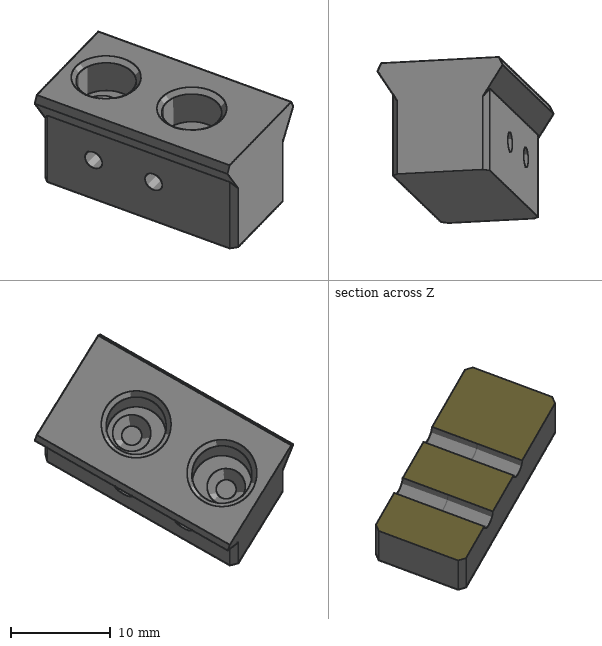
import cadquery as cq

length = 22.5
height = 11.5
body_width = 10.0
corner_chamfer = 0.6

head_top_width = 12.08
head_max_width = 12.9
head_bevel_height = 0.83
head_depth = 4.0
head_bottom_width = body_width - 2 * corner_chamfer

pocket_diameter = 6.0
pocket_depth = 4.0
pocket_chamfer = 0.5
seat_top_diameter = 3.82
seat_bottom_diameter = 2.0
seat_depth = (seat_top_diameter - seat_bottom_diameter) / 2
pocket_positions = (4.5, 14.5)
seat_positions = (4.0, 15.0)

pin_diameter = 2.0
pin_height = 4.93
pin_positions = (6.0, 13.0)


def make_body():
    """Rectangular block with chamfered vertical corners."""
    block = cq.Workplane("XY").box(length, body_width, height, centered=(False, True, False))
    return block.edges("|Z").chamfer(corner_chamfer)


def make_head():
    """Full-length head that tapers inward to meet the chamfered body corners."""
    widest_height = height - head_bevel_height
    half_profile = [
        (head_bottom_width / 2, height - head_depth),
        (head_max_width / 2, widest_height),
        (head_top_width / 2, height),
    ]
    mirrored_half = [(-y, z) for y, z in reversed(half_profile)]
    return cq.Workplane("YZ").polyline(half_profile + mirrored_half).close().extrude(length)


def make_cone(x, top, depth, top_diameter, bottom_diameter):
    """Vertical truncated cone, widest at its top."""
    return cq.Workplane(
        cq.Solid.makeCone(
            bottom_diameter / 2, top_diameter / 2, depth, pnt=cq.Vector(x, 0, top - depth)
        )
    )


def make_pocket(pocket_x, seat_x):
    """Cutter for one pocket: bore, chamfered mouth and conical seat."""
    floor = height - pocket_depth
    bore = (
        cq.Workplane("XY", origin=(pocket_x, 0, floor))
        .circle(pocket_diameter / 2)
        .extrude(pocket_depth)
    )
    mouth_diameter = pocket_diameter + 2 * pocket_chamfer
    mouth = make_cone(pocket_x, height, pocket_chamfer, mouth_diameter, pocket_diameter)
    seat = make_cone(seat_x, floor, seat_depth, seat_top_diameter, seat_bottom_diameter)
    return bore.union(mouth).union(seat)


def make_pin_holes():
    """Cutters for the pin holes, passing right through along Y."""
    return (
        cq.Workplane("XZ")
        .pushPoints([(x, pin_height) for x in pin_positions])
        .circle(pin_diameter / 2)
        .extrude(body_width, both=True)
    )


result = make_body().union(make_head())
for pocket_x, seat_x in zip(pocket_positions, seat_positions):
    result = result.cut(make_pocket(pocket_x, seat_x))
result = result.cut(make_pin_holes())